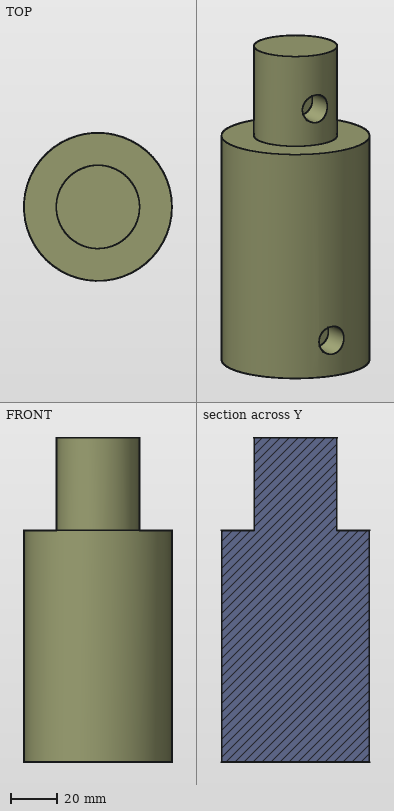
import cadquery as cq

total_height = 140.0
body_diameter = 64.0
body_height = 100.0
neck_diameter = 36.0

hole_diameter = 12.3
hole_depth = 14.0
body_hole_height = 16.0
neck_hole_height = 116.0


def radial_hole(outer_diameter, height):
    """Cutter that starts on the +Y surface of a cylinder and runs toward its axis."""
    outer_radius = outer_diameter / 2
    plane = cq.Plane(origin=(0, outer_radius, height), xDir=(1, 0, 0), normal=(0, -1, 0))
    return cq.Workplane(plane).circle(hole_diameter / 2).extrude(hole_depth)


body = cq.Workplane("XY").circle(body_diameter / 2).extrude(body_height)
neck = (
    cq.Workplane("XY")
    .workplane(offset=body_height)
    .circle(neck_diameter / 2)
    .extrude(total_height - body_height)
)

result = (
    body.union(neck)
    .cut(radial_hole(body_diameter, body_hole_height))
    .cut(radial_hole(neck_diameter, neck_hole_height))
)